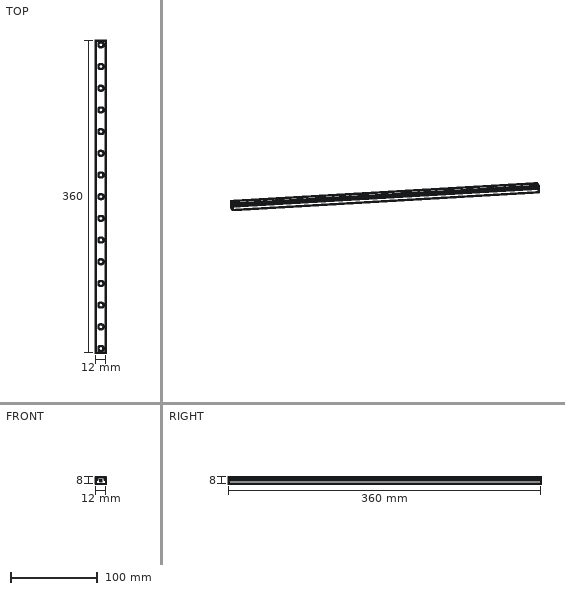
import cadquery as cq

LENGTH = 360.0
WIDTH = 12.0
HEIGHT = 8.0
EDGE_CHAMFER = 0.5

GROOVE_TOP = 6.2
GROOVE_BOTTOM = 4.47
GROOVE_DEPTH = 0.65
GROOVE_CENTRE = (GROOVE_TOP + GROOVE_BOTTOM) / 2
RELIEF_DEPTH = 1.7
RELIEF_HEIGHT = 0.4

RECESS_COUNT = 15
RECESS_PITCH = 25.0
RECESS_DIAMETER = 6.0
RECESS_DEPTH = 0.1

END_HOLE_DIAMETER = 1.9
END_HOLE_DEPTH = 2.0
END_HOLE_HEIGHT = HEIGHT / 2


def rail_body():
    """Bar along Y, centred in X and Y, with its four long edges chamfered."""
    bar = cq.Workplane("XY").box(WIDTH, LENGTH, HEIGHT, centered=(True, True, False))
    return bar.edges("|Y").chamfer(EDGE_CHAMFER)


def ball_groove(side):
    """Groove and relief slot to remove; side is +1 for the +X face and -1 for the -X face."""
    face_x = side * WIDTH / 2
    groove_floor_x = side * (WIDTH / 2 - GROOVE_DEPTH)
    relief_centre_x = side * (WIDTH - RELIEF_DEPTH) / 2

    groove = (
        cq.Workplane("XZ")
        .moveTo(face_x, GROOVE_TOP)
        .threePointArc((groove_floor_x, GROOVE_CENTRE), (face_x, GROOVE_BOTTOM))
        .close()
        .extrude(LENGTH / 2, both=True)
    )
    relief = (
        cq.Workplane("XZ")
        .center(relief_centre_x, GROOVE_CENTRE)
        .rect(RELIEF_DEPTH, RELIEF_HEIGHT)
        .extrude(LENGTH / 2, both=True)
    )
    return groove.union(relief)


def top_recesses():
    """Row of round recesses, evenly spaced and centred on the rail."""
    return (
        cq.Workplane("XY", origin=(0, 0, HEIGHT))
        .rarray(1, RECESS_PITCH, 1, RECESS_COUNT)
        .circle(RECESS_DIAMETER / 2)
        .extrude(-RECESS_DEPTH)
    )


def end_hole():
    """Blind hole running inward from the -Y end face."""
    return (
        cq.Workplane("XZ", origin=(0, -LENGTH / 2, END_HOLE_HEIGHT))
        .circle(END_HOLE_DIAMETER / 2)
        .extrude(-END_HOLE_DEPTH)
    )


result = rail_body()
for groove_side in (1, -1):
    result = result.cut(ball_groove(groove_side))
result = result.cut(top_recesses()).cut(end_hole())